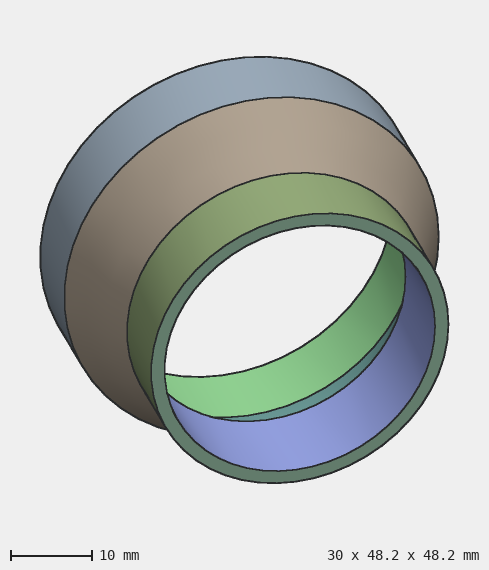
import cadquery as cq

large_outer_diameter = 48.25
large_bore_diameter = 42.65
small_outer_diameter = 38.3
small_bore_diameter = 34.85
total_length = 30.0

section_length = total_length / 3
outer_taper_end = 2 * section_length

bore_taper_end = 17.75


def stepped_cone(large_diameter, small_diameter, taper_end):
    """Solid of revolution about X: cylinder, taper, smaller cylinder."""
    large_radius = large_diameter / 2
    small_radius = small_diameter / 2
    return (
        cq.Workplane("XY")
        .polyline([
            (0, 0),
            (0, large_radius),
            (section_length, large_radius),
            (taper_end, small_radius),
            (total_length, small_radius),
            (total_length, 0),
        ])
        .close()
        .revolve(360, (0, 0, 0), (1, 0, 0))
    )


body = stepped_cone(large_outer_diameter, small_outer_diameter, outer_taper_end)
bore = stepped_cone(large_bore_diameter, small_bore_diameter, bore_taper_end)
result = body.cut(bore)